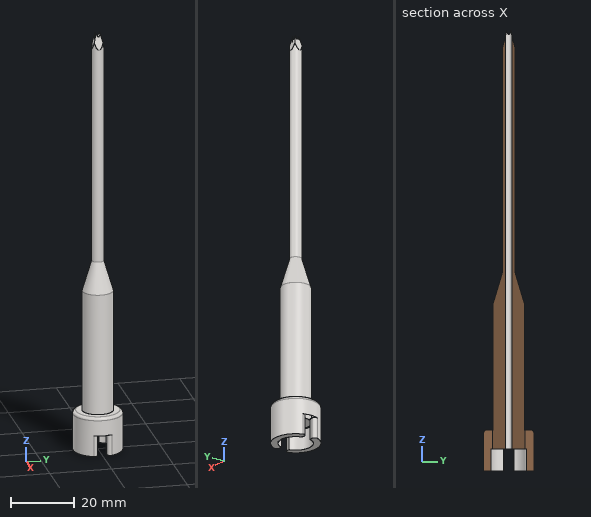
import cadquery as cq
import math

total_height = 139.2

cap_radius = 8.0
cap_height = 13.1
skirt_bore_radius = 5.5
skirt_height = 7.0
cap_top_fillet = 1.0
slot_width = 3.0
slot_edge_fillet = 1.0

shank_radius = 5.0
shank_top = 53.0
tube_radius = 2.0
cone_height = 10.0
cone_top = shank_top + cone_height
probe_bore_radius = 1.0

flat_count = 4
flat_angle = 14.0
flat_slope = math.tan(math.radians(flat_angle))
flat_top_offset = probe_bore_radius * math.cos(math.pi / flat_count)
flat_height = (tube_radius - flat_top_offset) / flat_slope


def make_cap():
    """Slotted sleeve that holds the probe above its skirt."""
    cap = cq.Workplane("XY").circle(cap_radius).extrude(cap_height)
    cap = cap.faces(">Z").edges().fillet(cap_top_fillet)
    slot = cq.Workplane("XY").box(
        2 * cap_radius, slot_width, skirt_height, centered=(True, True, False)
    )
    skirt_bore = cq.Workplane("XY").circle(skirt_bore_radius).extrude(skirt_height)
    probe_hole = cq.Workplane("XY").circle(shank_radius).extrude(cap_height)
    cap = cap.cut(skirt_bore).cut(probe_hole).cut(slot)

    slot_edge_x = math.sqrt(cap_radius**2 - (slot_width / 2) ** 2)
    for side_x in (-1, 1):
        for side_y in (-1, 1):
            corner = (side_x * slot_edge_x, side_y * slot_width / 2, skirt_height / 2)
            edge = cq.selectors.NearestToPointSelector(corner)
            cap = cap.edges("|Z").edges(edge).fillet(slot_edge_fillet)
    return cap


def make_flat_cutter(angle):
    """Wedge outside one sloping flat of the crown, turned about the axis."""
    wedge = (
        cq.Workplane("XZ")
        .moveTo(tube_radius, total_height - flat_height)
        .lineTo(flat_top_offset, total_height)
        .lineTo(tube_radius, total_height)
        .close()
        .extrude(tube_radius, both=True)
    )
    return wedge.rotate((0, 0, 0), (0, 0, 1), angle)


def make_probe():
    """Hollow turned probe seated in the cap, with a crown at its tip."""
    probe = (
        cq.Workplane("XZ")
        .moveTo(probe_bore_radius, skirt_height)
        .lineTo(shank_radius, skirt_height)
        .lineTo(shank_radius, shank_top)
        .lineTo(tube_radius, cone_top)
        .lineTo(tube_radius, total_height)
        .lineTo(probe_bore_radius, total_height)
        .close()
        .revolve(360, (0, 0, 0), (0, 1, 0))
    )
    for index in range(flat_count):
        probe = probe.cut(make_flat_cutter(index * 360 / flat_count))
    return probe


cap = make_cap()
probe = make_probe()
result = cq.Compound.makeCompound([cap.val(), probe.val()])